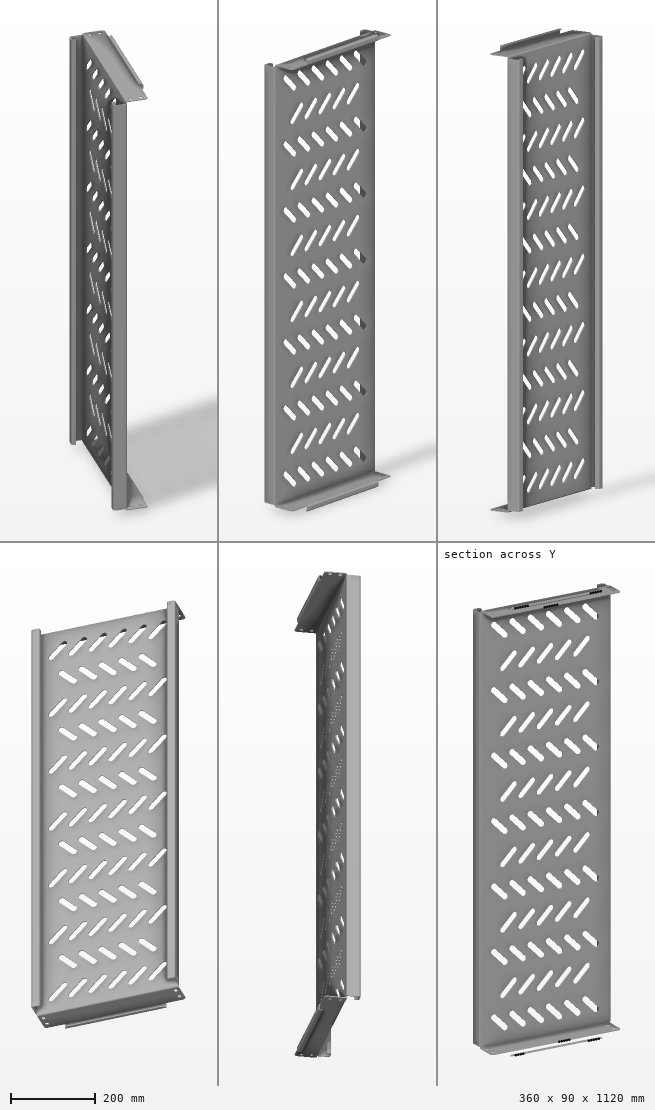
import cadquery as cq

WIDTH = 360.0
DEPTH = 90.0
HEIGHT = 1120.0

THICKNESS = 2.5
INNER_BEND_RADIUS = 1.3
OUTER_BEND_RADIUS = INNER_BEND_RADIUS + THICKNESS

CHANNEL_DEPTH = 34.0
CHANNEL_RETURN = 20.0
CHANNEL_LIP = 10.0
CHANNEL_END_GAP = 18.0

FLANGE_WIDTH = 354.0
FLANGE_CORNER_RADIUS = 7.0

RIM_WIDTH = 252.0
RIM_HEIGHT = 12.0
RIM_RETURN = 10.0
RIM_CHAMFER = 6.0

HOLE_DIAMETER = 9.0
HOLE_SPACING_X = 332.0
HOLE_SPACING_Y = 25.0
HOLE_CENTRE_Y = 58.0

SLOT_WIDTH = 15.0
SLOT_LENGTH = 59.0
SLOT_ANGLE = 45
SLOT_PITCH_Z = 82.0
SLOT_ROWS = 13
SLOTS_IN_WIDE_ROW = 6
SLOTS_IN_NARROW_ROW = SLOTS_IN_WIDE_ROW - 1
WIDE_ROW_SPAN = 250.0
SLOT_PITCH_X = WIDE_ROW_SPAN / (SLOTS_IN_WIDE_ROW - 1)

FLANGE_TOP = HEIGHT / 2 - RIM_HEIGHT
CHANNEL_HEIGHT = HEIGHT - 2 * CHANNEL_END_GAP
PANEL_FRONT = CHANNEL_DEPTH - THICKNESS
HALF_WIDTH = WIDTH / 2


def block(x_range, y_range, z_range):
    """Box between the given limits along X, Y and Z."""
    size = [high - low for low, high in (x_range, y_range, z_range)]
    corner = (x_range[0], y_range[0], z_range[0])
    return cq.Workplane("XY").box(*size, centered=False).translate(corner)


def folded_tube(x_range, y_range, z_range, axis):
    """Closed rectangular tube of sheet along the given axis, with rounded bends."""
    ranges = {"X": x_range, "Y": y_range, "Z": z_range}
    cavity_ranges = [
        limits if name == axis else (limits[0] + THICKNESS, limits[1] - THICKNESS)
        for name, limits in ranges.items()
    ]
    outside = block(x_range, y_range, z_range).edges("|" + axis).fillet(OUTER_BEND_RADIUS)
    cavity = block(*cavity_ranges).edges("|" + axis).fillet(INNER_BEND_RADIUS)
    return outside.cut(cavity)


def make_panel():
    """Flat sheet between the bends of the side channels."""
    half_flat = HALF_WIDTH - OUTER_BEND_RADIUS
    return block(
        (-half_flat, half_flat),
        (PANEL_FRONT, CHANNEL_DEPTH),
        (-CHANNEL_HEIGHT / 2, CHANNEL_HEIGHT / 2),
    )


def make_right_channel():
    """Channel at +X: a tube opened between its inner lip and the panel."""
    x_range = (HALF_WIDTH - CHANNEL_RETURN, HALF_WIDTH)
    z_range = (-CHANNEL_HEIGHT / 2, CHANNEL_HEIGHT / 2)
    tube = folded_tube(x_range, (0, CHANNEL_DEPTH), z_range, "Z")
    opening = block(
        (x_range[0], x_range[0] + OUTER_BEND_RADIUS),
        (CHANNEL_LIP, CHANNEL_DEPTH),
        z_range,
    )
    return tube.cut(opening)


def make_top_flange():
    """End flange with its bend into the panel, rounded rear corners and mounting holes."""
    bend_front = PANEL_FRONT + OUTER_BEND_RADIUS
    bend_bottom = FLANGE_TOP - OUTER_BEND_RADIUS
    panel_edge = CHANNEL_HEIGHT / 2 - OUTER_BEND_RADIUS
    rear = DEPTH - OUTER_BEND_RADIUS
    bent_sheet = (
        cq.Workplane("YZ")
        .moveTo(PANEL_FRONT, panel_edge)
        .lineTo(PANEL_FRONT, bend_bottom)
        .radiusArc((bend_front, FLANGE_TOP), OUTER_BEND_RADIUS)
        .lineTo(rear, FLANGE_TOP)
        .lineTo(rear, FLANGE_TOP - THICKNESS)
        .lineTo(bend_front, FLANGE_TOP - THICKNESS)
        .radiusArc((CHANNEL_DEPTH, bend_bottom), -INNER_BEND_RADIUS)
        .lineTo(CHANNEL_DEPTH, panel_edge)
        .close()
        .extrude(FLANGE_WIDTH / 2, both=True)
    )
    holes = (
        cq.Workplane("XY", origin=(0, HOLE_CENTRE_Y, FLANGE_TOP - THICKNESS))
        .rarray(HOLE_SPACING_X, HOLE_SPACING_Y, 2, 2)
        .circle(HOLE_DIAMETER / 2)
        .extrude(THICKNESS)
    )
    return bent_sheet.edges("|Z and >Y").fillet(FLANGE_CORNER_RADIUS).cut(holes)


def make_top_rim():
    """Rim on the flange: the rear half of a tube, its return with chamfered corners."""
    x_range = (-RIM_WIDTH / 2, RIM_WIDTH / 2)
    return_edge = DEPTH - RIM_RETURN
    tube_front = return_edge - RIM_RETURN
    z_range = (FLANGE_TOP - THICKNESS, HEIGHT / 2)
    tube = folded_tube(x_range, (tube_front, DEPTH), z_range, "X")
    hook = tube.cut(block(x_range, (tube_front, return_edge), z_range))
    right_corner = (
        cq.Workplane("XY", origin=(x_range[1], return_edge, FLANGE_TOP))
        .polyline([(0, 0), (-RIM_CHAMFER, 0), (0, RIM_CHAMFER)])
        .close()
        .extrude(RIM_HEIGHT)
    )
    return hook.cut(right_corner).cut(right_corner.mirror("YZ", (0, 0, 0)))


def make_slots():
    """Cutters for all slots; neighbouring rows slant in opposite directions."""
    slots = cq.Workplane("XZ", origin=(0, CHANNEL_DEPTH, 0))
    for row in range(SLOT_ROWS):
        is_wide = row % 2 == 0
        count = SLOTS_IN_WIDE_ROW if is_wide else SLOTS_IN_NARROW_ROW
        angle = SLOT_ANGLE if is_wide else -SLOT_ANGLE
        z = (row - (SLOT_ROWS - 1) / 2) * SLOT_PITCH_Z
        centres = [((i - (count - 1) / 2) * SLOT_PITCH_X, z) for i in range(count)]
        slots = slots.pushPoints(centres).slot2D(SLOT_LENGTH, SLOT_WIDTH, angle)
    return slots.extrude(THICKNESS)


right_channel = make_right_channel()
top_end = make_top_flange().union(make_top_rim())

result = (
    make_panel()
    .cut(make_slots())
    .union(right_channel)
    .union(right_channel.mirror("YZ"))
    .union(top_end)
    .union(top_end.mirror("XY"))
)